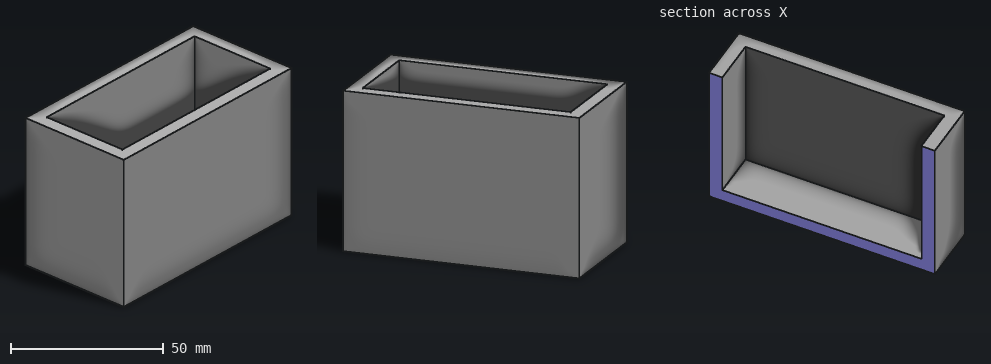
import cadquery as cq

width = 43.0
length = 83.0
height = 55.0

wall = 5.0
floor = wall

outer_block = cq.Workplane("XY").box(width, length, height, centered=(True, True, False))

cavity = (
    cq.Workplane("XY")
    .workplane(offset=floor)
    .rect(width - 2 * wall, length - 2 * wall)
    .extrude(height - floor)
)

result = outer_block.cut(cavity)